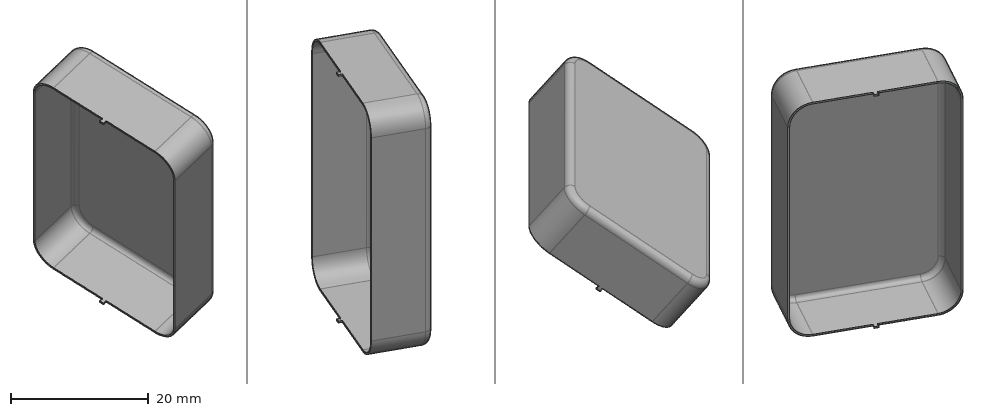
import cadquery as cq

width = 26.5
depth = 10.1
height = 41.5

wall = 0.3
corner_radius = 3.78
floor_edge_radius = 1.1

tab_width = 0.7
tab_length = 0.62

tray_depth = depth - tab_length
rim_y = -depth / 2 + tab_length


def rounded_block(inset):
    """Block starting at the rim, inset from the outer faces, with a rounded floor edge."""
    return (
        cq.Workplane("XZ", origin=(0, rim_y, 0))
        .rect(width - 2 * inset, height - 2 * inset)
        .extrude(-(tray_depth - inset))
        .edges("|Y")
        .fillet(corner_radius - inset)
        .faces(">Y")
        .edges()
        .fillet(floor_edge_radius - inset)
    )


def rim_tab(side):
    """Tab continuing the top (side=1) or bottom (side=-1) wall beyond the rim."""
    return (
        cq.Workplane("XZ", origin=(0, rim_y + wall, 0))
        .center(0, side * (height - wall) / 2)
        .rect(tab_width, wall)
        .extrude(tab_length + wall)
    )


result = rounded_block(0).cut(rounded_block(wall))
for side in (-1, 1):
    result = result.union(rim_tab(side))